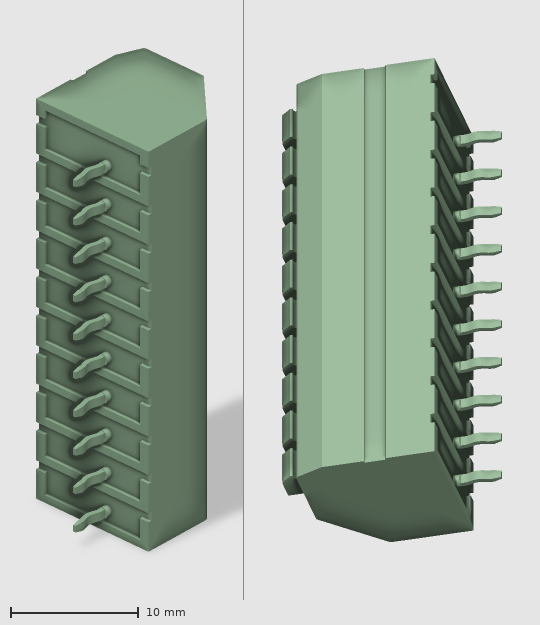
import cadquery as cq
import math

pole_count = 10
height = 36.5
end_plate = 1.5
pitch = (height - end_plate) / pole_count

depth = 12.0
body_length = 11.5
back_bevel_x = 0.95
back_bevel_y = 2.37
front_bevel = 4.75
back_round = 0.35
front_round = 0.55

groove_low = 3.95
groove_high = 5.73
groove_depth = 0.22
groove_taper = 0.15

pocket_depth = 0.33
side_wall = 0.9
cross_wall = 0.7
notch_height = 0.8

lever_back = 2.5
lever_front = 4.75
lever_rise = 1.6
lever_height = 2.6
lever_slope_width = 0.6
lever_slope_drop = 0.7
nose_reach = 0.45
nose_bevel = 0.15
nose_height = 0.22
nose_root = 0.1
lever_cut_x = 0.62
lever_cut_y = 0.7
lever_cut_z = 1.1
lever_nick_x = 0.22
lever_nick_y = 0.22
lever_nick_z = 0.45
lever_overlap = 0.35

pin_x = 7.35
pin_length = 3.5
pin_width = 0.45
pin_thickness = 0.8
collar_diameter = 0.95
collar_rise = 0.22
bend_start = 0.55
bend_entry = 0.35
bend_slant = 0.33
bend_crown = 0.45
bend_angle = 18.0
bend_end = bend_start + 2 * (bend_entry + bend_slant + bend_crown)
tip_start = 2.9
tip_width = 0.25
tip_thickness = 0.6


def make_housing():
    body = (
        cq.Workplane("XY")
        .moveTo(0, 0)
        .lineTo(depth, 0)
        .lineTo(depth, body_length - front_bevel)
        .lineTo(depth - front_bevel, body_length)
        .lineTo(back_bevel_x, body_length)
        .lineTo(0, body_length - back_bevel_y)
        .close()
        .extrude(height)
    )
    back_corner = (back_bevel_x, body_length, height / 2)
    body = body.edges(cq.NearestToPointSelector(back_corner)).fillet(back_round)
    front_corner = (depth, body_length - front_bevel, height / 2)
    body = body.edges(cq.NearestToPointSelector(front_corner)).fillet(front_round)
    groove = (
        cq.Workplane("XY")
        .polyline([
            (0, groove_low),
            (groove_depth, groove_low + groove_taper),
            (groove_depth, groove_high),
            (0, groove_high),
        ])
        .close()
        .extrude(height)
    )
    return body.cut(groove)


def make_pocket(pole_bottom, pocket_top):
    """Pocket between the side walls plus the notch that opens it to both sides."""
    pole_top = pole_bottom + pitch
    floor = pole_bottom + cross_wall
    pocket = cq.Workplane("XY").box(
        depth - 2 * side_wall, pocket_depth, pocket_top - floor, centered=False
    ).translate((side_wall, 0, floor))
    notch = cq.Workplane("XY").box(
        depth, pocket_depth, notch_height, centered=False
    ).translate((0, 0, pole_top - notch_height))
    return pocket.union(notch)


def make_corner_cut(corner, leg_a, leg_b, leg_c):
    """Tetrahedron at a corner, spanned by three vectors along the edges that meet there."""
    apex = cq.Vector(*corner)
    a = apex + cq.Vector(*leg_a)
    b = apex + cq.Vector(*leg_b)
    c = apex + cq.Vector(*leg_c)
    triangles = [(apex, a, b), (apex, b, c), (apex, c, a), (a, b, c)]
    faces = [cq.Face.makeFromWires(cq.Wire.makePolygon(t, close=True)) for t in triangles]
    return cq.Workplane(cq.Solid.makeSolid(cq.Shell.makeShell(faces)))


def make_lever(pole_bottom):
    lever_top = pole_bottom + pitch
    lever_bottom = lever_top - lever_height
    crest = body_length + lever_rise
    nose_x = lever_back - nose_reach
    slope_low_y = crest - lever_slope_drop
    nose_low = slope_low_y - nose_bevel - nose_height
    slope_high_x = nose_x + nose_bevel + lever_slope_width
    lever = (
        cq.Workplane("XY", origin=(0, 0, lever_bottom))
        .polyline([
            (lever_back, body_length - lever_overlap),
            (lever_front, body_length - lever_overlap),
            (lever_front, crest),
            (slope_high_x, crest),
            (nose_x + nose_bevel, slope_low_y),
            (nose_x, slope_low_y - nose_bevel),
            (nose_x, nose_low),
            (lever_back - nose_root, nose_low),
            (lever_back, nose_low - nose_root),
        ])
        .close()
        .extrude(lever_height)
    )
    front_cut = make_corner_cut(
        (lever_front, crest, lever_top),
        (-lever_cut_x, 0, 0),
        (0, -lever_cut_y, 0),
        (0, 0, -lever_cut_z),
    )
    slope_run = slope_high_x - nose_x - nose_bevel
    nick_run = lever_nick_y * slope_run / lever_slope_drop
    back_cut = make_corner_cut(
        (slope_high_x, crest, lever_bottom),
        (lever_nick_x, 0, 0),
        (-nick_run, -lever_nick_y, 0),
        (0, 0, lever_nick_z),
    )
    return lever.cut(front_cut).cut(back_cut)


def add_bend(outline, direction):
    """Draw one long side of the pin's bend; direction is -1 towards the tip, +1 towards the root.

    The side swings out to -X and back: arc, straight slant, arc, then the same mirrored.
    """
    angle = math.radians(bend_angle)
    entry_x = bend_entry * math.tan(angle / 2)
    slant_x = bend_slant * math.tan(angle)
    crown_x = bend_crown * math.tan(angle / 2)
    return (
        outline
        .tangentArcPoint((-entry_x, direction * bend_entry))
        .line(-slant_x, direction * bend_slant)
        .tangentArcPoint((-crown_x, direction * bend_crown))
        .tangentArcPoint((crown_x, direction * bend_crown))
        .line(slant_x, direction * bend_slant)
        .tangentArcPoint((entry_x, direction * bend_entry))
    )


def make_pin(pole_bottom):
    """Flat pin with a sideways bend, a tapered tip and a round collar at its root."""
    middle = pole_bottom + pitch / 2
    left = pin_x - pin_width / 2
    right = pin_x + pin_width / 2
    outline = (
        cq.Workplane("XY", origin=(0, 0, middle - pin_thickness / 2))
        .moveTo(left, pocket_depth)
        .lineTo(left, -bend_start)
    )
    outline = add_bend(outline, -1)
    outline = outline.lineTo(left, -tip_start).lineTo(right, -tip_start).lineTo(right, -bend_end)
    outline = add_bend(outline, 1)
    blade = outline.lineTo(right, pocket_depth).close().extrude(pin_thickness)
    tip = (
        cq.Workplane("XZ", origin=(pin_x, -tip_start, middle))
        .rect(pin_width, pin_thickness)
        .workplane(offset=pin_length - tip_start)
        .rect(tip_width, tip_thickness)
        .loft()
    )
    collar = (
        cq.Workplane("XZ", origin=(pin_x, pocket_depth, middle))
        .circle(collar_diameter / 2)
        .extrude(pocket_depth + collar_rise)
    )
    return blade.union(tip).union(collar)


result = make_housing()
for pole in range(pole_count):
    pole_bottom = pole * pitch
    is_top_pole = pole == pole_count - 1
    pocket_top = height - cross_wall if is_top_pole else pole_bottom + pitch
    result = result.cut(make_pocket(pole_bottom, pocket_top))
    result = result.union(make_lever(pole_bottom))
    result = result.union(make_pin(pole_bottom))